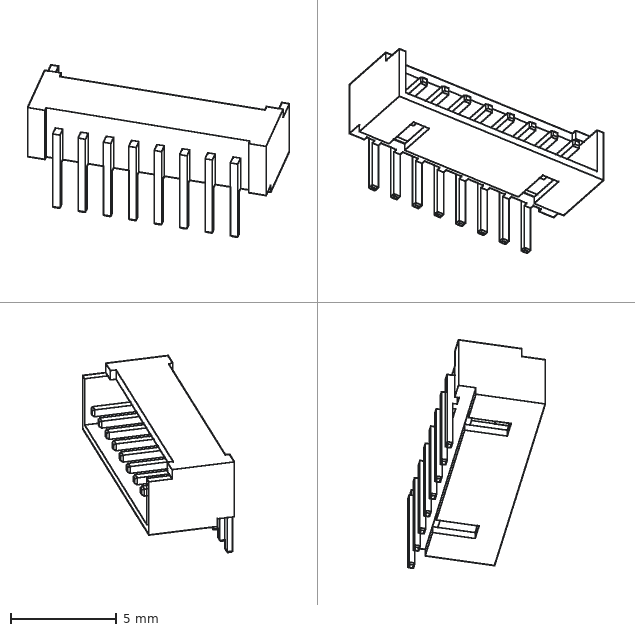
import cadquery as cq
import math


length = 11.75
depth = 4.5
height = 5.49

housing_height = 3.33
housing_back = 0.28
housing_bottom = height - housing_height
end_wall = 0.38
roof_thickness = 0.49
floor_thickness = 0.38
rear_step_height = 0.41
rear_step_front = 1.13
back_recess_depth = 0.21
rear_post_width = 0.86
cavity_back = 1.39
roof_setback = 1.14
roof_notch_setback = 1.42
roof_notch_end = 0.82
floor_slot_width = 0.9
floor_slot_offset = 1.7
floor_slot_setback = 1.3

pin_count = 8
pin_row_length = 8.75
pin_pitch = pin_row_length / (pin_count - 1)
pin_width = 0.36
leg_thickness = 0.28
pin_drop = 1.1
pin_setback = 0.04
contact_tip_length = 0.1
leg_tip_length = 0.08
tip_inset = 0.06

floor_top = housing_bottom + floor_thickness
ledge_z = height - roof_thickness
step_z = housing_bottom + rear_step_height
recess_y = housing_back + back_recess_depth
pin_top = height - pin_drop


def box(x_range, y_range, z_range):
    """Axis-aligned box given by its limits on each axis."""
    sizes = [high - low for low, high in (x_range, y_range, z_range)]
    corner = (x_range[0], y_range[0], z_range[0])
    return cq.Workplane("XY").box(*sizes, centered=False).translate(corner)


def centred(width):
    """Limits of a width centred on the middle of the part."""
    return (-width / 2, width / 2)


def make_housing():
    full_x = centred(length)
    body = box(full_x, (housing_back, depth), (housing_bottom, height))

    body = body.cut(box(full_x, (housing_back, rear_step_front), (housing_bottom, step_z)))
    recess_x = centred(length - 2 * rear_post_width)
    body = body.cut(box(recess_x, (housing_back, recess_y), (housing_bottom, height)))

    cavity_x = centred(length - 2 * end_wall)
    body = body.cut(box(cavity_x, (cavity_back, depth), (floor_top, ledge_z)))
    body = body.cut(box(full_x, (depth - roof_setback, depth), (ledge_z, height)))
    notch_x = centred(length - 2 * roof_notch_end)
    body = body.cut(box(notch_x, (depth - roof_notch_setback, depth), (ledge_z, height)))

    slot_outer = length / 2 - floor_slot_offset
    slot_inner = slot_outer - floor_slot_width
    for slot_x in ((-slot_outer, -slot_inner), (slot_inner, slot_outer)):
        slot_y = (rear_step_front, depth - floor_slot_setback)
        body = body.cut(box(slot_x, slot_y, (housing_bottom, floor_top)))
    return body


def tapered_tip(face, tip_length):
    """Blunt pyramid growing from an end face of a pin."""
    taper_angle = math.degrees(math.atan2(tip_inset, tip_length))
    return face.wires().toPending().workplane().extrude(tip_length, taper=taper_angle)


def make_pin():
    pin_x = centred(pin_width)
    leg = box(pin_x, (0, leg_thickness), (leg_tip_length, pin_top))
    leg = tapered_tip(leg.faces("<Z"), leg_tip_length)

    shoulder = box(pin_x, (0, recess_y), (step_z, pin_top))

    contact_y = (recess_y, depth - pin_setback - contact_tip_length)
    contact_middle = (floor_top + ledge_z) / 2
    contact_z = (contact_middle - pin_width / 2, contact_middle + pin_width / 2)
    contact = box(pin_x, contact_y, contact_z)
    contact = tapered_tip(contact.faces(">Y"), contact_tip_length)
    return leg.union(shoulder).union(contact)


result = make_housing()
pin = make_pin()
for index in range(pin_count):
    pin_centre = index * pin_pitch - pin_row_length / 2
    result = result.union(pin.translate((pin_centre, 0, 0)))